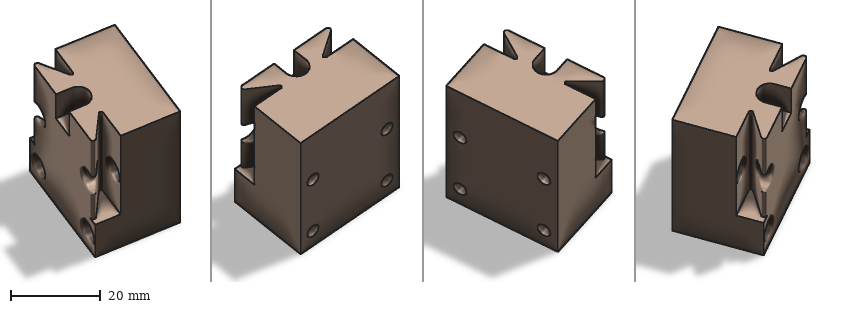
import cadquery as cq
import math

width = 30.0
depth = 21.72
height = 36.75

pocket_depth = 6.5
pocket_root_width = 9.75
pocket_bottom = 10.75
lip_radius = 0.7
root_radius = 0.5

hole_diameter = 3.4
bore_diameter = 6.0
bore_depth = 15.0
bore_edge_radius = 0.48
hole_spacing_x = 22.5
hole_spacing_z = 17.0
lower_hole_z = 4.92

recess_axis_y = 4.0
recess_depth = 8.0


def wedge_pocket():
    """Left pocket: its slanted wall starts at the block's front corner."""
    angle = math.atan2(pocket_depth, pocket_root_width)
    left = -width / 2
    normal_x = -math.sin(angle)
    normal_y = math.cos(angle)
    lip_x = left + lip_radius / math.tan(angle / 2)
    root_x = left + pocket_root_width - root_radius / math.tan(angle / 2)
    root_y = pocket_depth - root_radius

    bisector_x = math.cos(angle / 2)
    bisector_y = math.sin(angle / 2)
    lip_middle = (lip_x - lip_radius * bisector_x, lip_radius - lip_radius * bisector_y)
    lip_end = (lip_x + lip_radius * normal_x, lip_radius + lip_radius * normal_y)
    root_start = (root_x - root_radius * normal_x, root_y - root_radius * normal_y)
    root_middle = (root_x + root_radius * bisector_x, root_y + root_radius * bisector_y)
    return (
        cq.Workplane("XY", origin=(0, 0, pocket_bottom))
        .moveTo(left, 0)
        .lineTo(lip_x, 0)
        .threePointArc(lip_middle, lip_end)
        .lineTo(*root_start)
        .threePointArc(root_middle, (root_x, pocket_depth))
        .lineTo(left, pocket_depth)
        .close()
        .extrude(height - pocket_bottom)
    )


def cylinder_y(x, z, diameter, length):
    """Cylinder running back from the front face."""
    return cq.Workplane("XZ").center(x, z).circle(diameter / 2).extrude(-length)


def top_recess():
    """U-shaped recess, open to the top and front, around the vertical hole."""
    radius = bore_diameter / 2
    return (
        cq.Workplane("XY", origin=(0, 0, height))
        .moveTo(-radius, 0)
        .lineTo(-radius, recess_axis_y)
        .threePointArc((0, recess_axis_y + radius), (radius, recess_axis_y))
        .lineTo(radius, 0)
        .close()
        .extrude(-recess_depth)
    )


def bore_mouth_edges(body, x, z):
    """Curved edges where a counterbore opens through the surrounding faces."""
    margin = 0.05
    reach = bore_diameter / 2 + margin
    region = cq.selectors.BoxSelector(
        (x - reach, -margin, z - reach),
        (x + reach, pocket_depth + margin, z + reach),
        boundingbox=True,
    )
    return body.edges(region).edges("not %LINE")


body = cq.Workplane("XY").box(width, depth, height, centered=(True, False, False))
left_pocket = wedge_pocket()
body = body.cut(left_pocket).cut(left_pocket.mirror("YZ"))
body = body.cut(top_recess())
body = body.cut(
    cq.Workplane("XY").center(0, recess_axis_y).circle(hole_diameter / 2).extrude(height)
)
for x in (-hole_spacing_x / 2, hole_spacing_x / 2):
    for z in (lower_hole_z, lower_hole_z + hole_spacing_z):
        body = body.cut(cylinder_y(x, z, bore_diameter, bore_depth))
        body = body.cut(cylinder_y(x, z, hole_diameter, depth))
        body = bore_mouth_edges(body, x, z).fillet(bore_edge_radius)

result = body